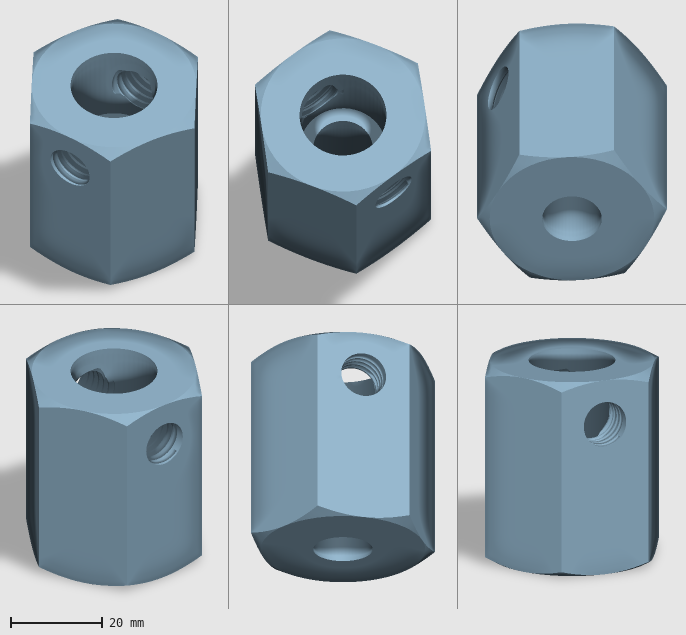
import cadquery as cq
import math

height = 44.0
across_flats = 36.0
across_corners = across_flats / math.cos(math.radians(30))
chamfer_angle = 30.0

socket_diameter = 19.0
bore_diameter = 13.02

hole_drop = 10.0
socket_depth = 2 * hole_drop

thread_pitch = 1.75
thread_minor_diameter = 10.1
thread_major_diameter = 12.0
thread_root_width = thread_pitch / 8
thread_flank_angle = 30.0
thread_end_inset = 0.9
thread_start_angle = 30.0
thread_turns = 7.3
far_thread_shift = 12 * thread_pitch
thread_overlap = 0.1


def make_hex_body():
    """Hexagonal prism with both ends turned down to a circle touching the flats."""
    body = cq.Workplane("XY").polygon(6, across_corners).extrude(height)
    flat_radius = across_flats / 2
    corner_radius = across_corners / 2
    chamfer_height = (corner_radius - flat_radius) * math.tan(math.radians(chamfer_angle))
    turned_blank = (
        cq.Workplane("XZ")
        .moveTo(0, 0)
        .lineTo(flat_radius, 0)
        .lineTo(corner_radius, chamfer_height)
        .lineTo(corner_radius, height - chamfer_height)
        .lineTo(flat_radius, height)
        .lineTo(0, height)
        .close()
        .revolve(360, (0, 0, 0), (0, 1, 0))
    )
    return body.intersect(turned_blank)


def make_bore():
    """Through bore widened to a socket at the top."""
    bore = cq.Workplane("XY").circle(bore_diameter / 2).extrude(height)
    socket = (
        cq.Workplane("XY")
        .workplane(offset=height - socket_depth)
        .circle(socket_diameter / 2)
        .extrude(socket_depth)
    )
    return bore.union(socket)


def make_cross_hole():
    """Plain cross hole at the minor diameter, running through both flats."""
    return (
        cq.Workplane("XZ")
        .center(0, height - hole_drop)
        .circle(thread_minor_diameter / 2)
        .extrude(across_flats / 2, both=True)
    )


def make_thread_groove():
    """Right-hand helical groove running along +Y from just inside the -Y flat."""
    minor_radius = thread_minor_diameter / 2
    major_radius = thread_major_diameter / 2
    inner_radius = minor_radius - thread_overlap
    root_half_width = thread_root_width / 2
    flank_width = (major_radius - inner_radius) * math.tan(math.radians(thread_flank_angle))
    mouth_half_width = root_half_width + flank_width
    thread_start = -across_flats / 2 + thread_end_inset
    thread_length = thread_turns * thread_pitch

    path = cq.Wire.makeHelix(thread_pitch, thread_length, minor_radius)
    groove = (
        cq.Workplane("XZ")
        .moveTo(inner_radius, -mouth_half_width)
        .lineTo(major_radius, -root_half_width)
        .lineTo(major_radius, root_half_width)
        .lineTo(inner_radius, mouth_half_width)
        .close()
        .sweep(cq.Workplane(obj=path), isFrenet=True)
    )
    return (
        groove.rotate((0, 0, 0), (0, 0, 1), thread_start_angle)
        .translate((0, 0, thread_start))
        .rotate((0, 0, 0), (1, 0, 0), -90)
        .translate((0, 0, height - hole_drop))
    )


near_groove = make_thread_groove()
far_groove = near_groove.translate((0, far_thread_shift, 0))

result = (
    make_hex_body()
    .cut(near_groove)
    .cut(far_groove)
    .cut(make_bore())
    .cut(make_cross_hole())
)